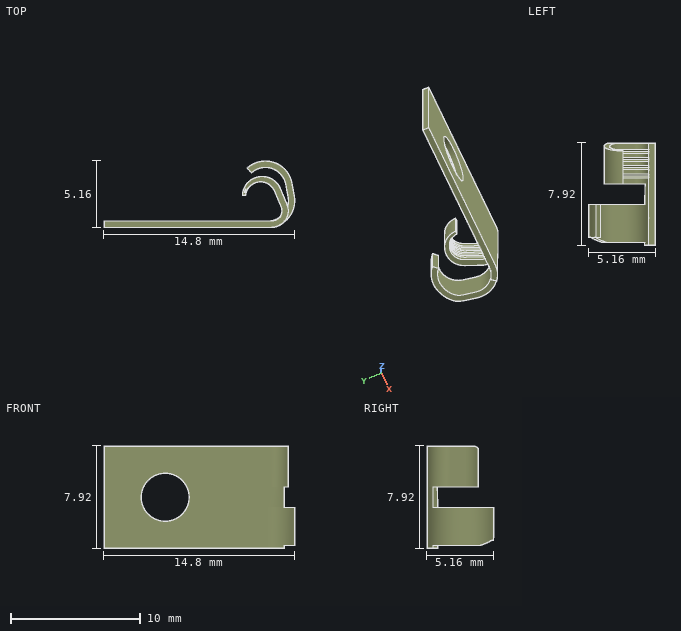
import cadquery as cq
import math

SHEET = 0.508
HEIGHT = 7.92

HOLE_DIAMETER = 3.70
HOLE_X = 4.73

LOWER_ARM_TOP = 0.4 * HEIGHT
UPPER_ARM_BOTTOM = 0.6 * HEIGHT
LOWER_ARM_BOTTOM = 0.22
WEB_START_X = 11.95
WEB_END_X = 13.97

LOWER_BEND_X = 12.70
LOWER_BEND_RADIUS = 2.08
LOWER_LEAN = 10.6
LOWER_STRAIGHT = 1.0
LOWER_HOOK_RADIUS = 2.10
LOWER_HOOK_END = 132.6

TAPER_DIRECTION = 137.0
TAPER_START = -0.62
TAPER_END = 0.75
TAPER_RISE = 0.40

UPPER_BEND_X = 12.975
UPPER_BEND_RADIUS = 1.30
UPPER_LEAN = 22.7
UPPER_STRAIGHT = 1.32
UPPER_HOOK_RADIUS = 1.54
UPPER_HOOK_INNER_RADIUS = 1.16
UPPER_TIP_Y = 2.49

SLOPE_START_X = 13.13
SLOPE_ANGLE = 14.3

GROOVE_COUNT = 4
GROOVE_HEIGHT = 0.31
GROOVE_DEPTH = GROOVE_HEIGHT / 2
GROOVE_TIP_MARGIN = 10.0

CUTTER_SIZE = 10.0


def polar(center, radius, angle):
    """Point at a radius and an angle in degrees from +X around a center."""
    turn = math.radians(angle)
    return (center[0] + radius * math.cos(turn), center[1] + radius * math.sin(turn))


def along(point, distance, lean):
    """Point moved up a straight part that leans toward -X."""
    return polar(point, distance, 90 + lean)


def extrude_up(outline, bottom, top):
    """Prism over an XY outline between two heights."""
    return outline.extrude(top - bottom).translate((0, 0, bottom))


def arm_outline(bend_center, bend_radius, lean, straight, outer_hook, inner_hook):
    """Closed XY outline of a curled arm; each hook is (center, radius, end angle)."""
    inner_radius = bend_radius - SHEET
    mid_bend = (lean - 90) / 2

    def mid_hook(hook):
        center, radius, end_angle = hook
        return polar(center, radius, (lean + end_angle) / 2)

    return (
        cq.Workplane("XY")
        .moveTo(*polar(bend_center, bend_radius, -90))
        .threePointArc(polar(bend_center, bend_radius, mid_bend), polar(bend_center, bend_radius, lean))
        .lineTo(*along(polar(bend_center, bend_radius, lean), straight, lean))
        .threePointArc(mid_hook(outer_hook), polar(*outer_hook))
        .lineTo(*polar(*inner_hook))
        .threePointArc(mid_hook(inner_hook), along(polar(bend_center, inner_radius, lean), straight, lean))
        .lineTo(*polar(bend_center, inner_radius, lean))
        .threePointArc(polar(bend_center, inner_radius, mid_bend), polar(bend_center, inner_radius, -90))
        .close()
    )


def bend_start_outline(workplane, bend_x, bend_radius):
    """Outline of the plate edge and first part of a bend, trimmed radially at WEB_END_X."""
    center = (bend_x, bend_radius)
    inner_radius = bend_radius - SHEET
    end_angle = -math.degrees(math.acos((WEB_END_X - bend_x) / bend_radius))
    mid_angle = (end_angle - 90) / 2
    return (
        workplane.moveTo(WEB_START_X, 0)
        .lineTo(bend_x, 0)
        .threePointArc(polar(center, bend_radius, mid_angle), polar(center, bend_radius, end_angle))
        .lineTo(*polar(center, inner_radius, end_angle))
        .threePointArc(polar(center, inner_radius, mid_angle), (bend_x, SHEET))
        .lineTo(WEB_START_X, SHEET)
        .close()
    )


def hook_center(bend_center, bend_surface_radius, lean, straight, hook_radius):
    """Center of a hook arc that continues a straight surface tangentially."""
    hook_start = along(polar(bend_center, bend_surface_radius, lean), straight, lean)
    return polar(hook_start, -hook_radius, lean)


def make_plate():
    lower = cq.Workplane("XY").box(LOWER_BEND_X, SHEET, HEIGHT, centered=False)
    upper = (
        cq.Workplane("XY")
        .box(UPPER_BEND_X, SHEET, HEIGHT - UPPER_ARM_BOTTOM, centered=False)
        .translate((0, 0, UPPER_ARM_BOTTOM))
    )
    hole = (
        cq.Workplane("XZ")
        .center(HOLE_X, HEIGHT / 2)
        .circle(HOLE_DIAMETER / 2)
        .extrude(-SHEET)
    )
    return lower.union(upper).cut(hole)


def make_foot():
    """Start of the lower bend over its full height, reaching below the lower arm."""
    outline = bend_start_outline(cq.Workplane("XY"), LOWER_BEND_X, LOWER_BEND_RADIUS)
    return extrude_up(outline, 0, LOWER_ARM_TOP)


def make_web():
    """Blend between the starts of the two bends."""
    bottom_plane = cq.Workplane("XY").workplane(offset=LOWER_ARM_TOP)
    bottom = bend_start_outline(bottom_plane, LOWER_BEND_X, LOWER_BEND_RADIUS)
    top_plane = bottom.workplane(offset=UPPER_ARM_BOTTOM - LOWER_ARM_TOP)
    return bend_start_outline(top_plane, UPPER_BEND_X, UPPER_BEND_RADIUS).loft(ruled=True)


def make_lower_arm():
    bend_center = (LOWER_BEND_X, LOWER_BEND_RADIUS)
    center = hook_center(bend_center, LOWER_BEND_RADIUS, LOWER_LEAN, LOWER_STRAIGHT, LOWER_HOOK_RADIUS)
    outer_hook = (center, LOWER_HOOK_RADIUS, LOWER_HOOK_END)
    inner_hook = (center, LOWER_HOOK_RADIUS - SHEET, LOWER_HOOK_END)
    outline = arm_outline(
        bend_center, LOWER_BEND_RADIUS, LOWER_LEAN, LOWER_STRAIGHT, outer_hook, inner_hook
    )
    arm = extrude_up(outline, LOWER_ARM_BOTTOM, LOWER_ARM_TOP)

    direction = polar((0, 0), 1, TAPER_DIRECTION)
    across = polar((0, 0), 1, TAPER_DIRECTION - 90)
    taper_plane = cq.Plane(
        origin=(center[0], center[1], LOWER_ARM_BOTTOM),
        xDir=(direction[0], direction[1], 0),
        normal=(across[0], across[1], 0),
    )
    taper = (
        cq.Workplane(taper_plane)
        .moveTo(TAPER_START, 0)
        .lineTo(TAPER_END, TAPER_RISE)
        .lineTo(CUTTER_SIZE, TAPER_RISE)
        .lineTo(CUTTER_SIZE, 0)
        .close()
        .extrude(CUTTER_SIZE, both=True)
    )
    return arm.cut(taper)


def make_groove(bend_center, inner_hook, z):
    """V-shaped cutter that follows the inside surface of the upper arm at height z."""
    inner_radius = UPPER_BEND_RADIUS - SHEET
    bend_end = polar(bend_center, inner_radius, UPPER_LEAN)
    center, hook_radius, tip_angle = inner_hook
    end_angle = tip_angle - GROOVE_TIP_MARGIN
    hook_middle = polar(center, hook_radius, (UPPER_LEAN + end_angle) / 2)
    path = (
        cq.Workplane("XY", origin=(0, 0, z))
        .moveTo(*polar(bend_center, inner_radius, -90))
        .threePointArc(polar(bend_center, inner_radius, (UPPER_LEAN - 90) / 2), bend_end)
        .lineTo(*along(bend_end, UPPER_STRAIGHT, UPPER_LEAN))
        .threePointArc(hook_middle, polar(center, hook_radius, end_angle))
    )
    half = GROOVE_HEIGHT / 2
    return (
        cq.Workplane("YZ", origin=(bend_center[0], SHEET, z))
        .polyline([(0, -half), (-GROOVE_DEPTH, 0), (0, half)])
        .close()
        .sweep(path)
    )


def make_upper_arm():
    bend_center = (UPPER_BEND_X, UPPER_BEND_RADIUS)

    def hook(bend_surface_radius, radius):
        center = hook_center(bend_center, bend_surface_radius, UPPER_LEAN, UPPER_STRAIGHT, radius)
        end_angle = 180 - math.degrees(math.asin((UPPER_TIP_Y - center[1]) / radius))
        return (center, radius, end_angle)

    outer_hook = hook(UPPER_BEND_RADIUS, UPPER_HOOK_RADIUS)
    inner_hook = hook(UPPER_BEND_RADIUS - SHEET, UPPER_HOOK_INNER_RADIUS)
    outline = arm_outline(
        bend_center, UPPER_BEND_RADIUS, UPPER_LEAN, UPPER_STRAIGHT, outer_hook, inner_hook
    )
    arm = extrude_up(outline, UPPER_ARM_BOTTOM, HEIGHT)

    pitch = (HEIGHT - UPPER_ARM_BOTTOM) / (GROOVE_COUNT + 1)
    for index in range(1, GROOVE_COUNT + 1):
        groove_z = UPPER_ARM_BOTTOM + index * pitch
        arm = arm.cut(make_groove(bend_center, inner_hook, groove_z))

    slope_drop = CUTTER_SIZE * math.tan(math.radians(SLOPE_ANGLE))
    far_x = SLOPE_START_X - CUTTER_SIZE
    slope = (
        cq.Workplane("XZ", origin=(0, UPPER_BEND_RADIUS, 0))
        .polyline([(SLOPE_START_X, HEIGHT), (far_x, HEIGHT), (far_x, HEIGHT - slope_drop)])
        .close()
        .extrude(-CUTTER_SIZE)
    )
    return arm.cut(slope)


result = make_plate()
for piece in (make_foot(), make_web(), make_lower_arm(), make_upper_arm()):
    result = result.union(piece)